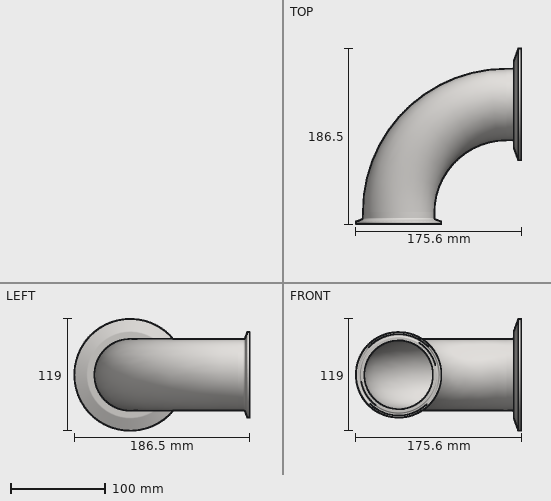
import cadquery as cq
import math

tube_od = 76.3
tube_id = 72.9
bend_radius = 114.3
inlet_straight = 12.7
outlet_straight = 15.8

inlet_flange_dia = 91.0
inlet_rim = 2.8
inlet_edge_round = 0.5
inlet_neck_round = 1.5

groove_inner_dia = 80.5
groove_outer_dia = 86.5
groove_depth = 1.3
groove_lip_round = 0.5

outlet_flange_dia = 119.0
outlet_back_dia = 91.7
outlet_rim = 3.2
outlet_back_round = 3.0
outlet_neck_round = 1.1

cone_angle = 20

tube_r = tube_od / 2
bore_r = tube_id / 2


def cone_rise(large_dia, small_dia):
    """Axial length of a flange cone between two diameters."""
    return (large_dia - small_dia) / 2 * math.tan(math.radians(cone_angle))


def round_circles(body, dia, round_radius, height=None):
    """Round the circular edges of a diameter, optionally only the one at a given height along Y."""
    def matches(edge):
        if edge.geomType() != "CIRCLE" or abs(edge.radius() - dia / 2) > 0.002:
            return False
        return height is None or abs(edge.Center().y - height) < 0.002

    return body.edges().filter(matches).fillet(round_radius)


def hollow_revolve(outer_points, length):
    """Turn an outer (radius, height) profile about Y, bored to the tube inside diameter."""
    profile = [(bore_r, 0)] + outer_points + [(tube_r, length), (bore_r, length)]
    return cq.Workplane("XY").polyline(profile).close().revolve(360, (0, 0, 0), (0, 1, 0))


def gasket_groove():
    inner_r = groove_inner_dia / 2
    outer_r = groove_outer_dia / 2
    return (
        cq.Workplane("XY")
        .moveTo(inner_r, 0)
        .threePointArc(((inner_r + outer_r) / 2, groove_depth), (outer_r, 0))
        .close()
        .revolve(360, (0, 0, 0), (0, 1, 0))
    )


def inlet_ferrule():
    """Face at Y = 0, tube end at +Y."""
    neck_height = inlet_rim + cone_rise(inlet_flange_dia, tube_od)
    flange_r = inlet_flange_dia / 2
    body = hollow_revolve([(flange_r, 0), (flange_r, inlet_rim), (tube_r, neck_height)], inlet_straight)
    body = round_circles(body, tube_od, inlet_neck_round, neck_height)
    body = round_circles(body, inlet_flange_dia, inlet_edge_round)
    body = body.cut(gasket_groove())
    for lip_dia in (groove_inner_dia, groove_outer_dia):
        body = round_circles(body, lip_dia, groove_lip_round, 0)
    return body


def outlet_ferrule():
    """Face at Y = 0, tube end at +Y."""
    back_height = outlet_rim + cone_rise(outlet_flange_dia, outlet_back_dia)
    flange_r = outlet_flange_dia / 2
    back_r = outlet_back_dia / 2
    outline = [(flange_r, 0), (flange_r, outlet_rim), (back_r, back_height), (tube_r, back_height)]
    body = hollow_revolve(outline, outlet_straight)
    body = round_circles(body, tube_od, outlet_neck_round, back_height)
    return round_circles(body, outlet_back_dia, outlet_back_round, back_height)


def elbow():
    """Quarter torus from the inlet ferrule's tube end, curving from +Y towards +X."""
    return (
        cq.Workplane("XZ", origin=(0, inlet_straight, 0))
        .circle(tube_r)
        .circle(bore_r)
        .revolve(90, (bend_radius, 1.9, 0), (bend_radius, 0, 0))
    )


outlet_face_x = bend_radius + outlet_straight
outlet_axis_y = inlet_straight + bend_radius
outlet = (
    outlet_ferrule()
    .rotate((0, 0, 0), (0, 0, 1), 90)
    .translate((outlet_face_x, outlet_axis_y, 0))
)

result = inlet_ferrule().union(elbow()).union(outlet)